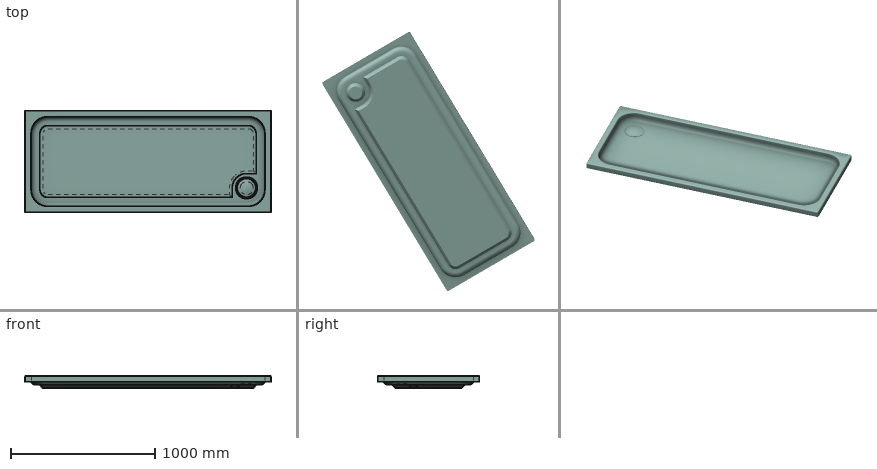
import cadquery as cq
import math

LENGTH = 1705
WIDTH = 706.0
HEIGHT = 85

RIM_HEIGHT = 41.0
RIM_DRAFT = 1.5
RIM_CORNER_RADIUS = 10.0
RIM_EDGE_RADIUS = 9.0
RIM_BOTTOM = HEIGHT - RIM_HEIGHT

BASIN_MARGIN = 35.0
CORNER_CENTRE_MARGIN = 160.0
LIP_RADIUS = 7.0
FLOOR_RADIUS = 29.0
FLOOR_Z = 27.0
WALL_MARGIN = BASIN_MARGIN + LIP_RADIUS

SHELL_THICKNESS = 5.0
SHELL_BOTTOM_RADIUS = 41.0
SHELL_BOTTOM = FLOOR_Z - SHELL_THICKNESS

BASE_MARGIN = 104.0
BASE_SLOPE_RUN = 20.0

DRAIN_MARGIN = 170
DRAIN_X = LENGTH / 2 - DRAIN_MARGIN
DRAIN_Y = DRAIN_MARGIN - WIDTH / 2
RECESS_DIAMETER = 150.0
RECESS_DEPTH = 3.0
SUMP_BOTTOM_DIAMETER = 90.0
SUMP_TOP_DIAMETER = SUMP_BOTTOM_DIAMETER + 2 * BASE_SLOPE_RUN
RECESS_FLOOR_Z = FLOOR_Z - RECESS_DEPTH

CLEARANCE_RADIUS = 99.0

COVER_DIAMETER = 130.0
COVER_EDGE_HEIGHT = 2.0
COVER_RISE = 9.0


def tray_outline(margin, z):
    """Round-cornered rectangle; all of them share the same corner centres."""
    return (
        cq.Sketch()
        .rect(LENGTH - 2 * margin, WIDTH - 2 * margin)
        .vertices()
        .fillet(CORNER_CENTRE_MARGIN - margin)
        .moved(cq.Location(cq.Vector(0, 0, z)))
    )


def rounded_bowl(margin, bottom_z, top_z, bottom_radius):
    return (
        cq.Workplane()
        .placeSketch(tray_outline(margin, bottom_z))
        .extrude(top_z - bottom_z)
        .faces("<Z")
        .edges()
        .fillet(bottom_radius)
    )


def drain_disc(profile):
    """Turn an XZ half profile about the drain axis."""
    return profile.close().revolve(360, (0, 0, 0), (0, 1, 0)).translate((DRAIN_X, DRAIN_Y, 0))


def make_rim():
    outline = (
        cq.Sketch()
        .rect(LENGTH, WIDTH)
        .vertices()
        .fillet(RIM_CORNER_RADIUS)
    )
    return (
        cq.Workplane(origin=(0, 0, RIM_BOTTOM))
        .placeSketch(outline)
        .extrude(RIM_HEIGHT, taper=RIM_DRAFT)
        .faces(">Z")
        .edges()
        .fillet(RIM_EDGE_RADIUS)
    )


def clearance_outline(growth, z):
    """Corner region beside the sump, running out past the base board."""
    radius = CLEARANCE_RADIUS + growth
    size = radius + DRAIN_MARGIN
    return (
        cq.Sketch()
        .push([(DRAIN_X - radius + size / 2, DRAIN_Y + radius - size / 2)])
        .rect(size, size)
        .reset()
        .vertices("<X and >Y")
        .fillet(radius)
        .moved(cq.Location(cq.Vector(0, 0, z)))
    )


def make_base():
    board = (
        cq.Workplane()
        .placeSketch(tray_outline(BASE_MARGIN + BASE_SLOPE_RUN, 0), tray_outline(BASE_MARGIN, SHELL_BOTTOM))
        .loft()
    )
    clearance = (
        cq.Workplane()
        .placeSketch(clearance_outline(BASE_SLOPE_RUN, 0), clearance_outline(0, SHELL_BOTTOM))
        .loft()
    )
    return board.cut(clearance)


def make_sump():
    return drain_disc(
        cq.Workplane("XZ")
        .lineTo(SUMP_BOTTOM_DIAMETER / 2, 0)
        .lineTo(SUMP_TOP_DIAMETER / 2, SHELL_BOTTOM)
        .lineTo(0, SHELL_BOTTOM)
    )


def drain_recess():
    return drain_disc(
        cq.Workplane("XZ", origin=(0, 0, RECESS_FLOOR_Z))
        .lineTo(COVER_DIAMETER / 2, 0)
        .lineTo(RECESS_DIAMETER / 2, RECESS_DEPTH)
        .lineTo(0, RECESS_DEPTH)
    )


def make_tray():
    shell = rounded_bowl(
        WALL_MARGIN - SHELL_THICKNESS, SHELL_BOTTOM, HEIGHT - LIP_RADIUS, SHELL_BOTTOM_RADIUS
    )
    basin = rounded_bowl(WALL_MARGIN, FLOOR_Z, HEIGHT, FLOOR_RADIUS)
    body = make_rim().union(shell).cut(basin)
    lip = body.faces(">Z").val().innerWires()[0]
    body = body.newObject(lip.Edges()).fillet(LIP_RADIUS)
    return body.union(make_base()).union(make_sump()).cut(drain_recess())


def make_cover():
    """Low disc with a domed top, a shallow spherical cap."""
    radius = COVER_DIAMETER / 2
    apex = COVER_EDGE_HEIGHT + COVER_RISE
    dome_radius = (radius**2 + COVER_RISE**2) / (2 * COVER_RISE)
    half_angle = math.asin(radius / dome_radius)
    arc_middle = (
        dome_radius * math.sin(half_angle / 2),
        apex - dome_radius * (1 - math.cos(half_angle / 2)),
    )
    return drain_disc(
        cq.Workplane("XZ", origin=(0, 0, RECESS_FLOOR_Z))
        .lineTo(radius, 0)
        .lineTo(radius, COVER_EDGE_HEIGHT)
        .threePointArc(arc_middle, (0, apex))
    )


tray = make_tray()
cover = make_cover()
result = cq.Compound.makeCompound([tray.val(), cover.val()])